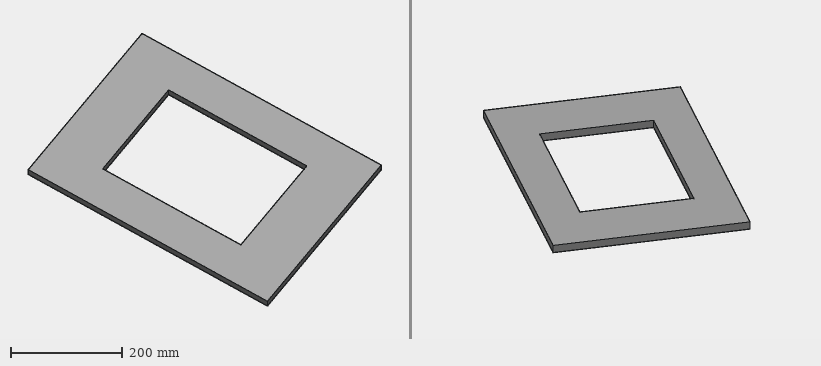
import cadquery as cq

length = 520.0
width = 365.0
thickness = 15.0

window_length = 300.0
window_width = 211.0

plate = cq.Workplane("XY").box(length, width, thickness)
window = cq.Workplane("XY").box(window_length, window_width, thickness)

result = plate.cut(window)